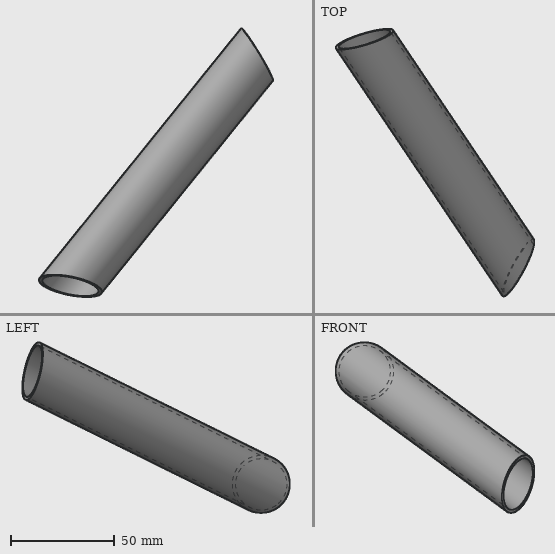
import cadquery as cq

outer_radius = 14.0
wall = 1.5
run_x = 74.5
run_y = -110.7
run_z = -54.8
trim_allowance = 2 * outer_radius
trim_size = 10 * outer_radius

upper_end = cq.Vector(-run_x / 2, -run_y / 2, -run_z / 2)
lower_end = cq.Vector(run_x / 2, run_y / 2, run_z / 2)
direction = (lower_end - upper_end).normalized()


def cylinder_along_leg(radius):
    """Solid cylinder on the centre line, longer than the leg at both ends."""
    start = upper_end - direction * trim_allowance
    length = (lower_end - upper_end).Length + 2 * trim_allowance
    return cq.Workplane(cq.Plane(origin=start, normal=direction)).circle(radius).extrude(length)


def block_beyond(point, outward):
    """Block filling the space beyond a mitre plane through the point."""
    plane = cq.Plane(origin=point, normal=outward)
    return cq.Workplane(plane).rect(trim_size, trim_size).extrude(trim_size)


upper_mitre = (direction + cq.Vector(0, -1, 0)) * -1
lower_mitre = direction + cq.Vector(1, 0, 0)

tube = cylinder_along_leg(outer_radius).cut(cylinder_along_leg(outer_radius - wall))
result = tube.cut(block_beyond(upper_end, upper_mitre)).cut(block_beyond(lower_end, lower_mitre))